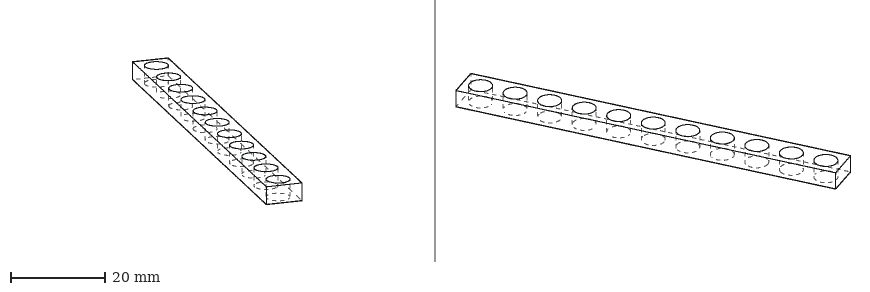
import cadquery as cq

hole_count = 11
hole_pitch = 8.0
hole_diameter = 5.1
bar_thickness = 4.0

bar_length = hole_count * hole_pitch
bar_width = hole_pitch


def make_bar():
    """Plain rectangular bar centred on the origin."""
    return cq.Workplane("XY").box(bar_length, bar_width, bar_thickness)


def drill_hole_row(bar):
    """Row of evenly spaced through holes along the bar's centre line."""
    return (
        bar.faces(">Z")
        .workplane()
        .rarray(hole_pitch, bar_width, hole_count, 1)
        .hole(hole_diameter)
    )


result = drill_hole_row(make_bar())